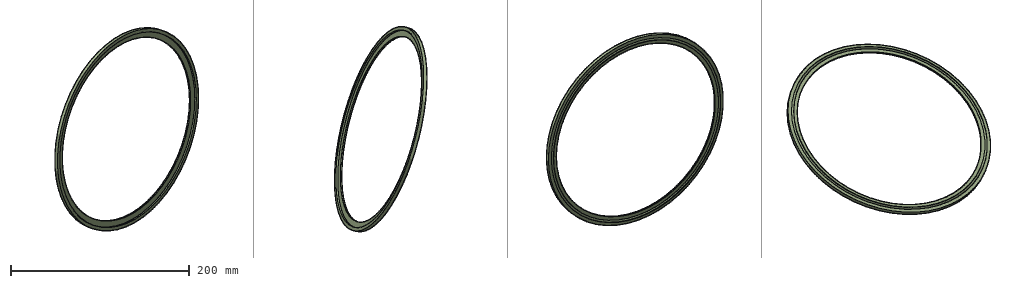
import cadquery as cq

outer_radius = 117.8
inner_radius = 107.0
total_width = 6.0
rim_width = 4.2
bead_outer_radius = 113.7
bead_inner_radius = 111.2
web_thickness = 2.0
web_lean = 0.07

rim_back_x = total_width / 2
rim_front_x = rim_back_x - rim_width
bead_tip_x = -total_width / 2
bead_mid_radius = (bead_outer_radius + bead_inner_radius) / 2
bead_round = (bead_outer_radius - bead_inner_radius) / 2
bead_wall_end_x = bead_tip_x + bead_round
bore_front_x = rim_front_x - web_lean
web_back_x = bore_front_x + web_thickness

section = (
    cq.Workplane("XY")
    .moveTo(web_back_x, inner_radius)
    .lineTo(web_back_x, bead_outer_radius)
    .lineTo(rim_back_x, bead_outer_radius)
    .lineTo(rim_back_x, outer_radius)
    .lineTo(rim_front_x, outer_radius)
    .lineTo(rim_front_x, bead_outer_radius)
    .lineTo(bead_wall_end_x, bead_outer_radius)
    .threePointArc((bead_tip_x, bead_mid_radius), (bead_wall_end_x, bead_inner_radius))
    .lineTo(rim_front_x, bead_inner_radius)
    .lineTo(bore_front_x, inner_radius)
    .close()
)

result = section.revolve(360, (0, 0, 0), (1, 0, 0))